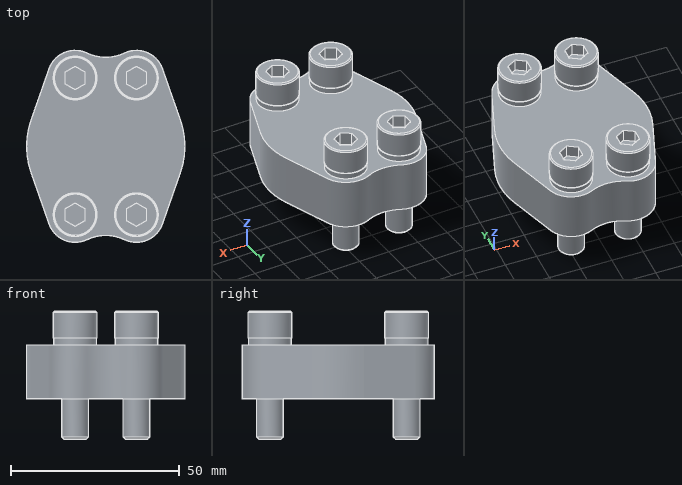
import cadquery as cq
import math

plate_length = 57.0
plate_width = 47.0
plate_thickness = 16.0
notch_radius = 12.9

bolt_spacing_x = 18.2
bolt_spacing_y = 40.5

shank_diameter = 8.0
shank_projection = 12.0
shank_chamfer = 0.75
washer_diameter = 12.7
washer_thickness = 2.0
head_diameter = 13.0
head_height = 8.0
head_chamfer = 0.4
hex_across_flats = 6.0
hex_depth = 4.0

bolt_x = bolt_spacing_x / 2
bolt_y = bolt_spacing_y / 2
side_radius = plate_width / 2
corner_radius = plate_length / 2 - bolt_y


def make_plate():
    """Extrude the outline made of tangent arcs and straight flanks."""
    flank_angle = math.atan2(bolt_y, bolt_x) - math.acos(
        (side_radius - corner_radius) / math.hypot(bolt_x, bolt_y)
    )
    normal_x = math.cos(flank_angle)
    normal_y = math.sin(flank_angle)
    side_x = side_radius * normal_x
    side_y = side_radius * normal_y
    corner_x = bolt_x + corner_radius * normal_x
    corner_y = bolt_y + corner_radius * normal_y

    center_distance = corner_radius + notch_radius
    notch_rise = math.sqrt(center_distance**2 - bolt_x**2)
    notch_bottom_y = bolt_y + notch_rise - notch_radius
    notch_end_x = bolt_x * notch_radius / center_distance
    notch_end_y = bolt_y + notch_rise * corner_radius / center_distance
    end_y = plate_length / 2

    return (
        cq.Workplane("XY")
        .moveTo(side_x, -side_y)
        .threePointArc((side_radius, 0), (side_x, side_y))
        .lineTo(corner_x, corner_y)
        .threePointArc((bolt_x, end_y), (notch_end_x, notch_end_y))
        .threePointArc((0, notch_bottom_y), (-notch_end_x, notch_end_y))
        .threePointArc((-bolt_x, end_y), (-corner_x, corner_y))
        .lineTo(-side_x, side_y)
        .threePointArc((-side_radius, 0), (-side_x, -side_y))
        .lineTo(-corner_x, -corner_y)
        .threePointArc((-bolt_x, -end_y), (-notch_end_x, -notch_end_y))
        .threePointArc((0, -notch_bottom_y), (notch_end_x, -notch_end_y))
        .threePointArc((bolt_x, -end_y), (corner_x, -corner_y))
        .close()
        .extrude(plate_thickness)
    )


def make_bolt():
    """Build one bolt and washer on the Z axis, with the plate's underside at Z = 0."""
    shank = (
        cq.Workplane("XY", origin=(0, 0, -shank_projection))
        .circle(shank_diameter / 2)
        .extrude(shank_projection + plate_thickness)
        .faces("<Z")
        .chamfer(shank_chamfer)
    )
    washer = (
        cq.Workplane("XY", origin=(0, 0, plate_thickness))
        .circle(washer_diameter / 2)
        .extrude(washer_thickness)
    )
    hex_across_corners = hex_across_flats / math.cos(math.pi / 6)
    head = (
        cq.Workplane("XY", origin=(0, 0, plate_thickness + washer_thickness))
        .circle(head_diameter / 2)
        .extrude(head_height)
        .faces(">Z")
        .chamfer(head_chamfer)
        .faces(">Z")
        .workplane()
        .transformed(rotate=(0, 0, 90))
        .polygon(6, hex_across_corners)
        .cutBlind(-hex_depth)
    )
    return shank.union(washer).union(head)


result = make_plate()
bolt = make_bolt()
for x in (-bolt_x, bolt_x):
    for y in (-bolt_y, bolt_y):
        result = result.union(bolt.translate((x, y, 0)))